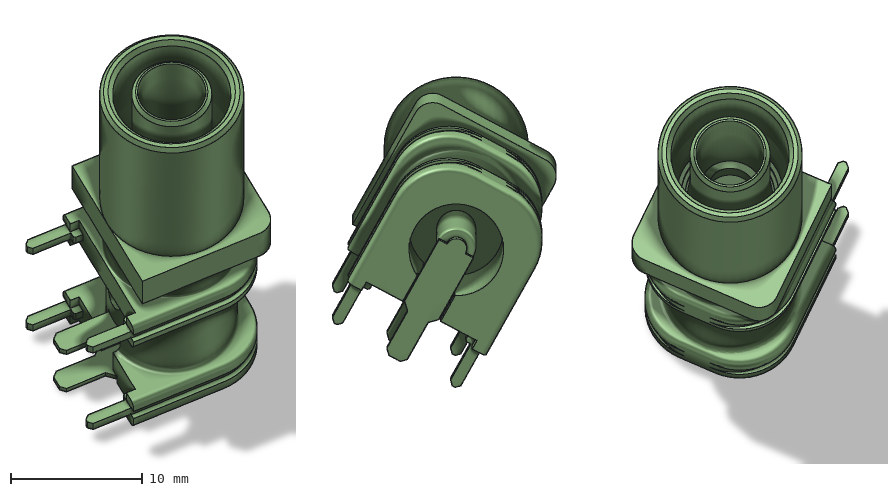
import cadquery as cq

total_height = 33.0
pin_tip_y = -9.8
overlap = 0.3

barrel_radius = 5.5
barrel_edge_chamfer = 0.3
flange_width = 12.0
half_width = flange_width / 2
flange_front_y = -5.5
flange_bottom_z = 16.0
flange_top_z = 19.0
flange_corner_radius = 1.5
neck_radius = 5.25
neck_fillet = 0.2
body_radius = 5.0
body_fillet = 0.5

lower_collar_bottom_z = 0.0
lower_collar_top_z = 3.15
upper_collar_bottom_z = 10.45
upper_collar_top_z = 13.3
collar_back_radius = 4.5
collar_edge_fillet = 0.5
collar_front_y = -5.5
leg_front_y = -6.25
leg_inner_x = 4.8
groove_height = 0.95
groove_depth = 0.42
groove_below_top = 1.43

side_pin_outer_x = half_width - groove_depth
side_pin_width = 0.9
side_pin_height = 0.8
side_pin_chamfer = 0.32
pad_inner_x = 4.15
pad_edge_chamfer = 0.15

core_radius = 1.5
core_bottom_z = 0.85
core_bottom_fillet = 0.25
cavity_radius = 3.6
cavity_top_z = 6.5
centre_pin_width = 1.8
centre_pin_chamfer = 0.4
upper_pin_bottom_z = 5.25
upper_pin_top_z = 5.8
lower_pin_bottom_z = 0.3
lower_pin_top_z = 0.75
lower_pin_root_width = 3.0
lower_pin_flare = (lower_pin_root_width - centre_pin_width) / 2
core_neck_radius = 0.8

slot_width = 2.0
slot_top_z = 5.93
foot_width = 3.3
foot_top_z = 0.85
side_hole_radius = 1.0
side_hole_z = 8.8
side_hole_floor_y = -3.0

mouth_radius = 4.85
bore_radius = 4.5
mouth_chamfer = mouth_radius - bore_radius
taper_top_z = 27.0
taper_bottom_z = 25.5
bore_low_radius = 4.05
step_z = 24.0
step_outer_radius = 3.72
step_inner_radius = 3.42
step_drop = 0.3
tube_radius = 3.05
tube_root_radius = 3.25
tube_flare_top_z = 26.0
tube_hole_radius = 2.6
tube_edge_chamfer = 0.3
tube_hole_lip_radius = tube_radius - tube_edge_chamfer
seat_z = 24.0
seat_hole_radius = 2.0
seat_hole_depth = 1.5
seat_slot_half_width = 0.63
seat_slot_edge_radius = 0.95


def cylinder(radius, bottom_z, top_z):
    return cq.Workplane("XY").workplane(offset=bottom_z).circle(radius).extrude(top_z - bottom_z)


def block(x_min, x_max, y_min, y_max, z_min, z_max):
    size = (x_max - x_min, y_max - y_min, z_max - z_min)
    return cq.Workplane("XY").box(*size, centered=False).translate((x_min, y_min, z_min))


def make_flange():
    flange = block(-half_width, half_width, flange_front_y, half_width, flange_bottom_z, flange_top_z)
    return flange.edges("|Z and >Y").fillet(flange_corner_radius)


def make_column():
    """Barrel, neck and body, flared where they meet the flange and the collars."""
    profile = (
        cq.Workplane("XZ")
        .moveTo(0, 0)
        .lineTo(body_radius, 0)
        .lineTo(body_radius, lower_collar_top_z - overlap)
        .lineTo(body_radius + body_fillet, lower_collar_top_z - overlap)
        .lineTo(body_radius + body_fillet, lower_collar_top_z)
        .radiusArc((body_radius, lower_collar_top_z + body_fillet), body_fillet)
        .lineTo(body_radius, upper_collar_bottom_z - body_fillet)
        .radiusArc((body_radius + body_fillet, upper_collar_bottom_z), body_fillet)
        .lineTo(neck_radius + neck_fillet, upper_collar_top_z)
        .radiusArc((neck_radius, upper_collar_top_z + neck_fillet), neck_fillet)
        .lineTo(neck_radius, flange_bottom_z - neck_fillet)
        .radiusArc((neck_radius + neck_fillet, flange_bottom_z), neck_fillet)
        .lineTo(barrel_radius, flange_top_z)
        .lineTo(barrel_radius, total_height - barrel_edge_chamfer)
        .lineTo(barrel_radius - barrel_edge_chamfer, total_height)
        .lineTo(0, total_height)
        .close()
    )
    return profile.revolve(360, (0, 0, 0), (0, 1, 0))


def make_collar(bottom_z, top_z):
    """Collar with rounded back corners, front legs, side pins and side grooves that fade at the back."""
    collar = block(-half_width, half_width, leg_front_y, half_width, bottom_z, top_z)
    collar = collar.edges("|Z and >Y").fillet(collar_back_radius)
    collar = collar.faces("<Z or >Z").edges("not <Y").fillet(collar_edge_fillet)

    groove_middle_z = top_z - groove_below_top
    groove_bottom_z = groove_middle_z - groove_height / 2
    groove_top_z = groove_middle_z + groove_height / 2
    outside = block(-half_width, half_width, leg_front_y, half_width, groove_bottom_z, groove_top_z)
    inside = block(
        -side_pin_outer_x, side_pin_outer_x, leg_front_y, half_width, groove_bottom_z, groove_top_z
    )
    inside = inside.edges("|Z and >Y").fillet(collar_back_radius)
    collar = collar.cut(outside.cut(inside))

    recess = block(-leg_inner_x, leg_inner_x, leg_front_y, collar_front_y, bottom_z, top_z)
    collar = collar.cut(recess)
    return collar.union(make_side_pins(groove_middle_z))


def make_side_pins(middle_z):
    bottom_z = middle_z - side_pin_height / 2
    top_z = middle_z + side_pin_height / 2
    inner_x = side_pin_outer_x - side_pin_width
    root_y = collar_front_y + overlap
    pin = block(inner_x, side_pin_outer_x, pin_tip_y, root_y, bottom_z, top_z)
    pin = pin.edges("|Z and <Y").chamfer(side_pin_chamfer)
    pad = block(pad_inner_x, side_pin_outer_x, leg_front_y, root_y, bottom_z, top_z)
    pad = pad.edges("|Z and <X and <Y").chamfer(pad_edge_chamfer)
    right_pin = pin.union(pad)
    return right_pin.union(right_pin.mirror("YZ"))


def make_cavity():
    """Open space around the core, with its front slot and the wider opening at the foot."""
    cavity = cylinder(cavity_radius, 0, cavity_top_z)
    slot = block(-slot_width / 2, slot_width / 2, leg_front_y, 0, 0, slot_top_z)
    foot = block(-foot_width / 2, foot_width / 2, leg_front_y, 0, 0, foot_top_z)
    return cavity.union(slot).union(foot)


def make_centre_pin(bottom_z, top_z):
    half_pin = centre_pin_width / 2
    pin = block(-half_pin, half_pin, pin_tip_y, 0, bottom_z, top_z)
    return pin.edges("|Z and <Y").chamfer(centre_pin_chamfer)


def make_core():
    """Round core hanging in the cavity, with one pin near its top and one under its lower end."""
    core = cylinder(core_radius, core_bottom_z, cavity_top_z + overlap)
    core = core.faces("<Z").edges().fillet(core_bottom_fillet)
    core_neck = cylinder(core_neck_radius, lower_pin_bottom_z, core_bottom_z + overlap)
    half_root = lower_pin_root_width / 2
    flare_front_y = collar_front_y - lower_pin_flare
    root = block(-half_root, half_root, flare_front_y, 0, lower_pin_bottom_z, lower_pin_top_z)
    root = root.edges("|Z and <Y").chamfer(lower_pin_flare)
    core = core.union(core_neck).union(root)
    core = core.union(make_centre_pin(lower_pin_bottom_z, lower_pin_top_z))
    return core.union(make_centre_pin(upper_pin_bottom_z, upper_pin_top_z))


def make_side_hole():
    hole = cq.Workplane("XZ", origin=(0, side_hole_floor_y, side_hole_z)).circle(side_hole_radius)
    return hole.extrude(body_radius + side_hole_floor_y + overlap)


def make_socket_gap():
    """Ring-shaped gap between the barrel and the inner tube."""
    lower_step_z = step_z - step_drop
    floor_z = lower_step_z - step_drop
    profile = (
        cq.Workplane("XZ")
        .moveTo(tube_hole_lip_radius, total_height)
        .lineTo(mouth_radius, total_height)
        .lineTo(bore_radius, total_height - mouth_chamfer)
        .lineTo(bore_radius, taper_top_z)
        .lineTo(bore_low_radius, taper_bottom_z)
        .lineTo(bore_low_radius, step_z)
        .lineTo(step_outer_radius, step_z)
        .lineTo(step_outer_radius, lower_step_z)
        .lineTo(step_inner_radius, lower_step_z)
        .lineTo(step_inner_radius, floor_z)
        .lineTo(tube_root_radius, floor_z)
        .lineTo(tube_radius, tube_flare_top_z)
        .lineTo(tube_radius, total_height - tube_edge_chamfer)
        .close()
    )
    return profile.revolve(360, (0, 0, 0), (0, 1, 0))


def make_socket_hole():
    """Bore of the inner tube, its stepped seat, and a round-edged slot along X across the seat."""
    slot_floor_z = seat_z - seat_slot_edge_radius
    hole = cylinder(tube_hole_radius, seat_z, total_height)
    hole = hole.union(cylinder(seat_hole_radius, seat_z - seat_hole_depth, total_height))
    half_mouth = seat_slot_half_width + seat_slot_edge_radius
    slot = (
        cq.Workplane("YZ", origin=(-tube_hole_radius, 0, 0))
        .moveTo(-seat_slot_half_width, slot_floor_z)
        .lineTo(seat_slot_half_width, slot_floor_z)
        .radiusArc((half_mouth, seat_z), seat_slot_edge_radius)
        .lineTo(-half_mouth, seat_z)
        .radiusArc((-seat_slot_half_width, slot_floor_z), seat_slot_edge_radius)
        .close()
        .extrude(2 * tube_hole_radius)
    )
    return hole.union(slot.intersect(cylinder(tube_hole_radius, slot_floor_z, seat_z)))


result = (
    make_column()
    .union(make_flange())
    .union(make_collar(lower_collar_bottom_z, lower_collar_top_z))
    .union(make_collar(upper_collar_bottom_z, upper_collar_top_z))
    .cut(make_cavity())
    .cut(make_side_hole())
    .cut(make_socket_gap())
    .cut(make_socket_hole())
    .union(make_core())
)